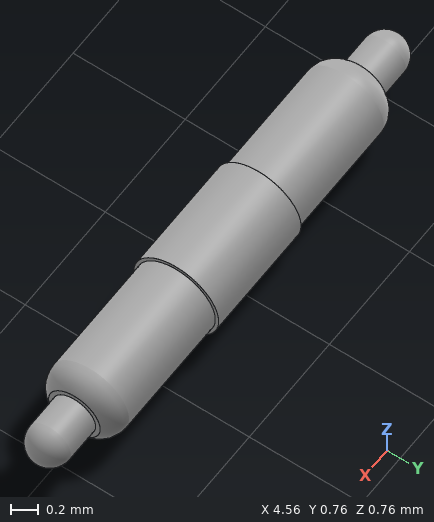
import cadquery as cq
import math

overall_length = 4.56
collar_length = 1.03
barrel_length = 3.57
collar_radius = 0.38
barrel_radius = 0.35
plunger_radius = 0.19
crimp_radius = 0.22
crimp_mouth_radius = 0.23

tip_x = overall_length / 2
collar_x = collar_length / 2
barrel_x = barrel_length / 2
tip_center_x = tip_x - plunger_radius

crimp_angle = math.acos(1 - (barrel_radius - crimp_mouth_radius) / crimp_radius)
crimp_start_x = barrel_x - crimp_radius * math.sin(crimp_angle)

crimp_mid_x = crimp_start_x + crimp_radius * math.sin(crimp_angle / 2)
crimp_mid_radius = barrel_radius - crimp_radius * (1 - math.cos(crimp_angle / 2))
tip_mid_x = tip_center_x + plunger_radius * math.cos(math.pi / 4)
tip_mid_radius = plunger_radius * math.sin(math.pi / 4)


def make_probe():
    """Revolve the whole tip-to-tip outline, drawn on the -Y side of the axis."""
    outline = (
        cq.Workplane("XY")
        .moveTo(-tip_x, 0)
        .threePointArc((-tip_mid_x, -tip_mid_radius), (-tip_center_x, -plunger_radius))
        .lineTo(-barrel_x, -plunger_radius)
        .lineTo(-barrel_x, -crimp_mouth_radius)
        .threePointArc((-crimp_mid_x, -crimp_mid_radius), (-crimp_start_x, -barrel_radius))
        .lineTo(-collar_x, -barrel_radius)
        .lineTo(-collar_x, -collar_radius)
        .lineTo(collar_x, -collar_radius)
        .lineTo(collar_x, -barrel_radius)
        .lineTo(crimp_start_x, -barrel_radius)
        .threePointArc((crimp_mid_x, -crimp_mid_radius), (barrel_x, -crimp_mouth_radius))
        .lineTo(barrel_x, -plunger_radius)
        .lineTo(tip_center_x, -plunger_radius)
        .threePointArc((tip_mid_x, -tip_mid_radius), (tip_x, 0))
        .close()
    )
    return outline.revolve(360, (0, 0, 0), (1, 0, 0))


result = make_probe()